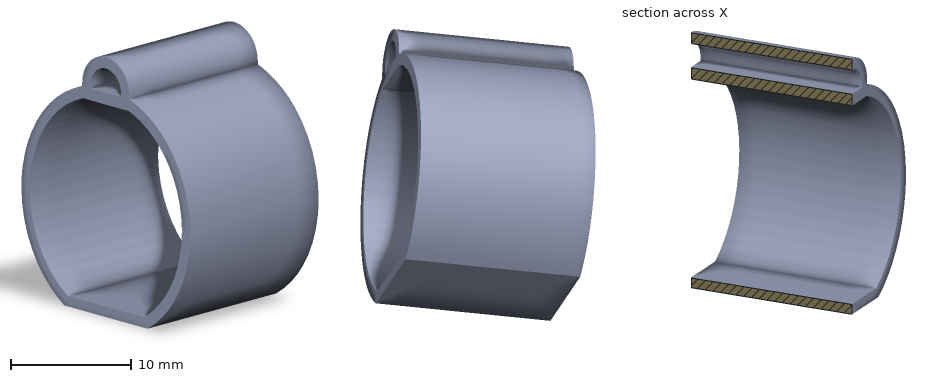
import cadquery as cq

height = 22.5
length = 15.0
wall = 1.0
ring_half_width = 10.0
ring_half_height = 10.6
base_z = -9.22
base_thickness = 0.9
loop_radius = 2.8
bridge_thickness = 1.04
bridge_top_z = 10.2

top_z = base_z + height
loop_center_z = top_z - loop_radius
bridge_bottom_z = bridge_top_z - bridge_thickness
base_top_z = base_z + base_thickness


def slab(half_width, low_z, high_z):
    """Full-length block centered on X, spanning low_z to high_z."""
    block = cq.Workplane("XY").box(2 * half_width, length, high_z - low_z)
    return block.translate((0, 0, (low_z + high_z) / 2))


def elliptical_bar(half_width, half_height):
    """Full-length solid bar of elliptical section along Y."""
    return cq.Workplane("XZ", origin=(0, length / 2, 0)).ellipse(half_width, half_height).extrude(length)


def round_bar(radius):
    """Full-length round bar on the loop axis."""
    return cq.Workplane("XZ", origin=(0, length / 2, loop_center_z)).circle(radius).extrude(length)


def arch(radius, foot_z):
    """Half-round bar with straight sides running down to foot_z."""
    upper_half = round_bar(radius).intersect(slab(height, loop_center_z, top_z + wall))
    return upper_half.union(slab(radius, foot_z, loop_center_z))


body = elliptical_bar(ring_half_width, ring_half_height)
body = body.intersect(slab(ring_half_width, base_z, top_z))
body = body.union(arch(loop_radius, bridge_bottom_z))

bore = elliptical_bar(ring_half_width - wall, ring_half_height - wall)
bore = bore.intersect(slab(ring_half_width, base_top_z, bridge_bottom_z))

loop_opening = arch(loop_radius - wall, bridge_top_z)

result = body.cut(bore).cut(loop_opening)